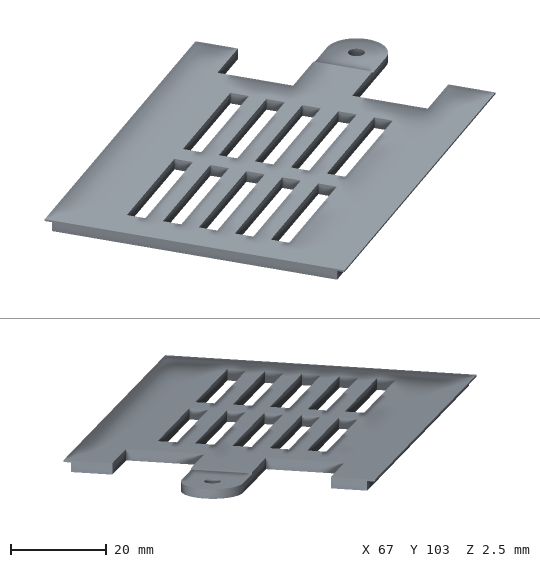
import cadquery as cq

plate_width = 67.0
overall_length = 103.0
plate_length = 88.6
total_height = 2.5

lip_thickness = 0.4
lip_overhang = 1.6
body_width = plate_width - 2 * lip_overhang
body_height = total_height - lip_thickness

tab_center_x = -0.5
notch_width = 47.0
notch_depth = 12.0
notch_floor_y = plate_length - notch_depth
tab_width = 13.2
tab_radius = tab_width / 2
tab_hole_diameter = 3.5
tab_hole_y = overall_length - tab_radius

slots_per_row = 5
slot_rows = 2
slot_width = 4.1
slot_length = 27.9
slot_pitch = 8.0
slot_row_gap = 4.9
front_margin = 7.9
slot_row_pitch = slot_length + slot_row_gap
slot_field_center_y = front_margin + (slot_rows * slot_row_pitch - slot_row_gap) / 2


def block(width, length, height, center_x=0, start_y=0, start_z=0):
    """Box centred on center_x that extends toward +Y and +Z from its start."""
    return cq.Workplane("XY").box(width, length, height, centered=(True, False, False)).translate(
        (center_x, start_y, start_z)
    )


def plate():
    """Body with the wider lip on top."""
    body = block(body_width, plate_length, body_height)
    lip = block(plate_width, plate_length, lip_thickness, start_z=body_height)
    return body.union(lip)


def notch():
    """Opening in the rear edge, leaving the middle strip that carries the tab."""
    opening = block(notch_width, notch_depth, total_height, tab_center_x, notch_floor_y)
    strip = block(tab_width, notch_depth, total_height, tab_center_x, notch_floor_y)
    return opening.cut(strip)


def tab():
    """Round-ended tab, flush with the underside of the lip, with a through hole."""
    straight = block(tab_width, tab_hole_y - plate_length, body_height, tab_center_x, plate_length)
    rounded_end = cq.Workplane("XY").center(tab_center_x, tab_hole_y).circle(tab_radius).extrude(body_height)
    hole = cq.Workplane("XY").center(tab_center_x, tab_hole_y).circle(tab_hole_diameter / 2).extrude(body_height)
    return straight.union(rounded_end).cut(hole)


def slots():
    """Grid of rectangular through slots."""
    return (
        cq.Workplane("XY")
        .center(0, slot_field_center_y)
        .rarray(slot_pitch, slot_row_pitch, slots_per_row, slot_rows)
        .rect(slot_width, slot_length)
        .extrude(total_height)
    )


result = plate().cut(notch()).cut(slots()).union(tab())